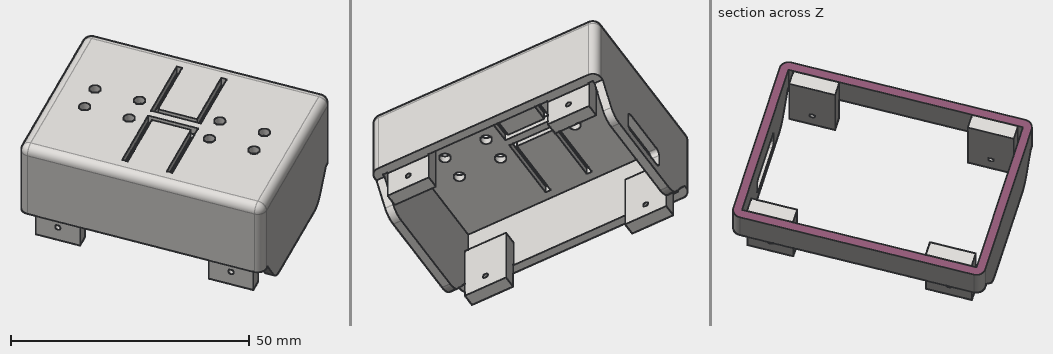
import cadquery as cq

length = 55.0
width = 39.4
overall_height = 25.5
wall = 2.0
edge_radius = wall

lug_drop = 7.2
lug_root_height = lug_drop
lug_clearance = 0.2
lug_length = 10.0
lug_thickness = 2.95
lug_end_gap = 3.0
lug_hole_diameter = 1.2
lug_hole_height = 3.5

tab_drop = 7.1
tab_top_width = 34.0
tab_bottom_width = 24.55
tab_corner_radius = 4.0

window_width = 12.75
window_height = 5.1
window_above_tab_bottom = 2.3
window_corner_radius = 1.1

slot_outer_width = 11.2
slot_arm_width = 1.2
slot_base_width = 1.0
slot_base_offset = 0.8
slot_arm_end = 15.85

top_hole_diameter = 2.4
top_hole_group_x = 14.0
top_hole_spacing_x = 10.0
top_hole_spacing_y = 6.0

shell_height = overall_height - lug_drop
end_wall_x = length / 2 - wall / 2


def block(size_x, size_y, size_z, x=0.0, y=0.0, z=0.0):
    """Box centred on (x, y) with its underside at z."""
    return cq.Workplane("XY").box(size_x, size_y, size_z, centered=(True, True, False)).translate((x, y, z))


def make_shell():
    outside = block(length, width, shell_height).edges("|Z or >Z").fillet(edge_radius)
    inside = block(length - 2 * wall, width - 2 * wall, shell_height - wall)
    return outside.cut(inside)


def make_end_tab(x):
    return (
        cq.Workplane("YZ")
        .polyline([
            (-tab_top_width / 2, 0),
            (tab_top_width / 2, 0),
            (tab_bottom_width / 2, -tab_drop),
            (-tab_bottom_width / 2, -tab_drop),
        ])
        .close()
        .extrude(wall / 2, both=True)
        .edges("|X and <Z")
        .fillet(tab_corner_radius)
        .translate((x, 0, 0))
    )


def make_window():
    bottom = window_above_tab_bottom - tab_drop
    opening = block(wall, window_width, window_height, -end_wall_x, 0, bottom)
    return opening.edges("|X").fillet(window_corner_radius)


def make_lug(x_side, y_side):
    x = x_side * (length / 2 - lug_end_gap - lug_length / 2)
    y = y_side * (width / 2 - wall - lug_clearance - lug_thickness / 2)
    root_thickness = lug_thickness + lug_clearance
    root_y = y_side * (width / 2 - wall - root_thickness / 2)
    body = block(lug_length, lug_thickness, lug_drop, x, y, -lug_drop)
    root = block(lug_length, root_thickness, lug_root_height, x, root_y)
    screw_hole = (
        cq.Workplane("XZ")
        .circle(lug_hole_diameter / 2)
        .extrude(lug_thickness / 2, both=True)
        .translate((x, y, lug_hole_height - lug_drop))
    )
    return body.cut(screw_hole).union(root)


def make_slot(y_side):
    z = shell_height - wall
    arm_length = slot_arm_end - slot_base_offset
    arm_x = (slot_outer_width - slot_arm_width) / 2
    arm_y = y_side * (slot_base_offset + arm_length / 2)
    base_y = y_side * (slot_base_offset + slot_base_width / 2)
    slot = block(slot_outer_width, slot_base_width, wall, 0, base_y, z)
    for x in (-arm_x, arm_x):
        slot = slot.union(block(slot_arm_width, arm_length, wall, x, arm_y, z))
    return slot


def make_top_holes(x_side):
    return (
        cq.Workplane("XY", origin=(x_side * top_hole_group_x, 0, shell_height - wall))
        .rarray(top_hole_spacing_x, top_hole_spacing_y, 2, 2)
        .circle(top_hole_diameter / 2)
        .extrude(wall)
    )


result = make_shell()
for side_x in (-1, 1):
    result = result.union(make_end_tab(side_x * end_wall_x))
    result = result.cut(make_top_holes(side_x))
    for side_y in (-1, 1):
        result = result.union(make_lug(side_x, side_y))
for side_y in (-1, 1):
    result = result.cut(make_slot(side_y))
result = result.cut(make_window())